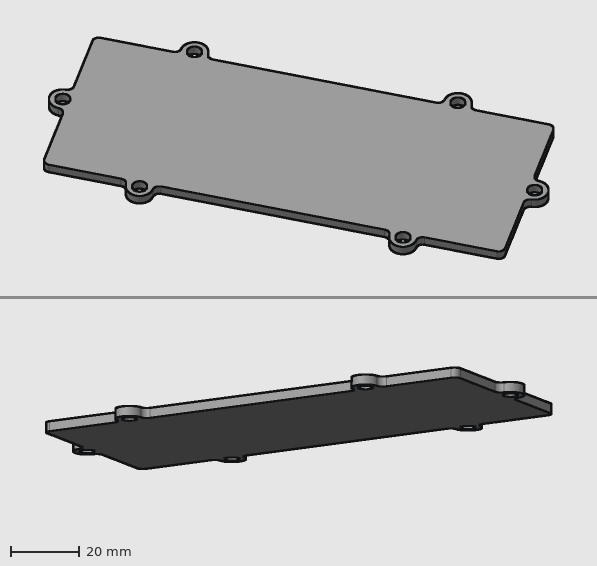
import cadquery as cq

overall_length = 151.5
overall_width = 67.5
thickness = 3.0

plate_length = 140.0
plate_width = 56.0
blend_radius = 2.0

ear_radius = 4.1
hole_diameter = 4.4
long_side_ear_spacing = 80.0

end_ear_x = overall_length / 2 - ear_radius
side_ear_x = long_side_ear_spacing / 2
side_ear_y = overall_width / 2 - ear_radius

ear_centers = [(-end_ear_x, 0), (end_ear_x, 0)]
for x in (-side_ear_x, side_ear_x):
    for y in (-side_ear_y, side_ear_y):
        ear_centers.append((x, y))


def on_plate_boundary(edge):
    """True for edges on the plate's sides: its corners and the ear junctions."""
    tolerance = 0.0002
    center = edge.Center()
    on_end = abs(abs(center.x) - plate_length / 2) < tolerance
    on_long_side = abs(abs(center.y) - plate_width / 2) < tolerance
    return on_end or on_long_side


plate = cq.Workplane("XY").rect(plate_length, plate_width).extrude(thickness)
ears = cq.Workplane("XY").pushPoints(ear_centers).circle(ear_radius).extrude(thickness)
body = plate.union(ears)

body = body.edges("|Z").filter(on_plate_boundary).fillet(blend_radius)

holes = cq.Workplane("XY").pushPoints(ear_centers).circle(hole_diameter / 2).extrude(thickness)
result = body.cut(holes)